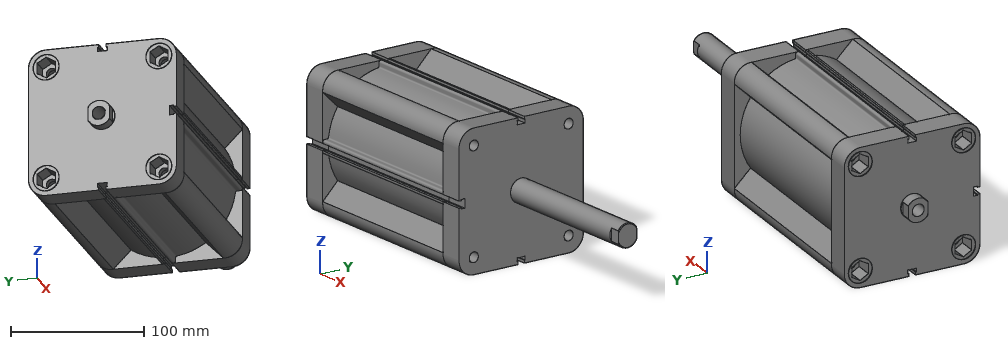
import cadquery as cq
import math

TOTAL_LENGTH = 337.0
REAR_STICKOUT = 9.5
CAP_LENGTH = 20.2
BARREL_LENGTH = 152.3
SIDE = 116.0
CORNER_RADIUS = 13.8
HALF_SIDE = SIDE / 2
BOLT_OFFSET = HALF_SIDE - CORNER_RADIUS

REAR_CAP_X = REAR_STICKOUT
BARREL_X = REAR_CAP_X + CAP_LENGTH
FRONT_CAP_X = BARREL_X + BARREL_LENGTH

ROD_DIAMETER = 20.0
FLAT_WIDTH = 17.0
REAR_FLAT_LENGTH = 8.5
FRONT_FLAT_LENGTH = 9.0
ROD_CHAMFER = 0.7
ROD_HOLE_DIAMETER = 10.0
ROD_HOLE_DEPTH = 20.2
DRILL_TIP_ANGLE = 118.0

BOLT_HOLE_DIAMETER = 8.5
HEX_ACROSS_FLATS = 14.0
HEX_ACROSS_CORNERS = HEX_ACROSS_FLATS / math.cos(math.radians(30))
HEX_TURN = 90
HEX_DEPTH = 15.0
SPOTFACE_DIAMETER = 20.2
SPOTFACE_DEPTH = 0.7

SLOT_OPENING = 5.7
SLOT_INNER_WIDTH = 7.5
SLOT_LIP = 2.5
SLOT_DEPTH = 5.5
SLOT_TURNS = (90, 0, 180)

TUBE_RADIUS = 53.0
WEB_WIDTH = 21.0
WEB_TURNS = (45, 135)
RAIL_WIDTH = 11.0
RAIL_EDGE_FILLET = 1.7
RAIL_ROOT_FILLET = 1.5


def bar(x_start, length, width, height, y=0.0, z=0.0):
    """Box along X, centred on (y, z)."""
    box = cq.Workplane("XY").box(length, width, height, centered=(False, True, True))
    return box.translate((x_start, y, z))


def cylinder(x_start, length, radius, y=0.0, z=0.0):
    """Cylinder along X, centred on (y, z)."""
    return cq.Workplane("YZ", origin=(x_start, y, z)).circle(radius).extrude(length)


def bolt_positions():
    """(y, z) of the four bolt axes."""
    offsets = (-BOLT_OFFSET, BOLT_OFFSET)
    return [(y, z) for y in offsets for z in offsets]


def turned(body, angle, y=0.0, z=0.0):
    """Body turned about the line along X through (y, z)."""
    return body.rotate((0, y, z), (1, y, z), angle)


def cut_slots(body, x_start, length):
    """T-slot along each slotted side."""
    opening = bar(x_start, length, SLOT_OPENING, SLOT_DEPTH, z=HALF_SIDE - SLOT_DEPTH / 2)
    inner_height = SLOT_DEPTH - SLOT_LIP
    inner_z = HALF_SIDE - SLOT_DEPTH + inner_height / 2
    inner = bar(x_start, length, SLOT_INNER_WIDTH, inner_height, z=inner_z)
    slot = opening.union(inner)
    for angle in SLOT_TURNS:
        body = body.cut(turned(slot, angle))
    return body


def cut_through_holes(body, x_start, length):
    """Rod bore and the four bolt holes."""
    body = body.cut(cylinder(x_start, length, ROD_DIAMETER / 2))
    for y, z in bolt_positions():
        body = body.cut(cylinder(x_start, length, BOLT_HOLE_DIAMETER / 2, y, z))
    return body


def make_cap(x_start):
    cap = bar(x_start, CAP_LENGTH, SIDE, SIDE).edges("|X").fillet(CORNER_RADIUS)
    cap = cut_slots(cap, x_start, CAP_LENGTH)
    return cut_through_holes(cap, x_start, CAP_LENGTH)


def make_rear_cap():
    cap = make_cap(REAR_CAP_X)
    for y, z in bolt_positions():
        hexagon = cq.Workplane("YZ", origin=(REAR_CAP_X, y, z)).polygon(6, HEX_ACROSS_CORNERS)
        pocket = turned(hexagon.extrude(HEX_DEPTH), HEX_TURN, y, z)
        cap = cap.cut(pocket)
        cap = cap.cut(cylinder(REAR_CAP_X, SPOTFACE_DEPTH, SPOTFACE_DIAMETER / 2, y, z))
    return cap


def make_web():
    """Web through the axis along Y, ending in a corner post arc on each side."""
    half_width = WEB_WIDTH / 2
    post_centre = math.hypot(BOLT_OFFSET, BOLT_OFFSET)
    arc_start = post_centre + math.sqrt(CORNER_RADIUS**2 - half_width**2)
    arc_middle = post_centre + CORNER_RADIUS
    outline = (
        cq.Workplane("YZ", origin=(BARREL_X, 0, 0))
        .moveTo(-arc_start, -half_width)
        .lineTo(arc_start, -half_width)
        .threePointArc((arc_middle, 0), (arc_start, half_width))
        .lineTo(-arc_start, half_width)
        .threePointArc((-arc_middle, 0), (-arc_start, -half_width))
        .close()
    )
    return outline.extrude(BARREL_LENGTH)


def add_rail(barrel):
    """Rail along the +Z side, rounded at its outer edges and blended into the tube."""
    rail = bar(BARREL_X, BARREL_LENGTH, RAIL_WIDTH, HALF_SIDE, z=HALF_SIDE / 2)
    rail = rail.edges("|X and >Z").fillet(RAIL_EDGE_FILLET)
    root_z = math.sqrt(TUBE_RADIUS**2 - (RAIL_WIDTH / 2) ** 2)
    root_edges = cq.selectors.BoxSelector(
        (BARREL_X, -RAIL_WIDTH, root_z - RAIL_ROOT_FILLET / 2),
        (FRONT_CAP_X, RAIL_WIDTH, root_z + RAIL_ROOT_FILLET / 2),
    )
    return barrel.union(rail).edges("|X").edges(root_edges).fillet(RAIL_ROOT_FILLET)


def make_barrel():
    barrel = cylinder(BARREL_X, BARREL_LENGTH, TUBE_RADIUS)
    for angle in SLOT_TURNS:
        barrel = turned(add_rail(turned(barrel, -angle)), angle)
    web = make_web()
    for angle in WEB_TURNS:
        barrel = barrel.union(turned(web, angle))
    barrel = cut_slots(barrel, BARREL_X, BARREL_LENGTH)
    return cut_through_holes(barrel, BARREL_X, BARREL_LENGTH)


def cut_flats(rod, x_start, length):
    """Pair of wrench flats on the -Y and +Y sides of the rod."""
    thickness = (ROD_DIAMETER - FLAT_WIDTH) / 2
    for side in (-1, 1):
        y = side * (FLAT_WIDTH + thickness) / 2
        rod = rod.cut(bar(x_start, length, thickness, ROD_DIAMETER, y=y))
    return rod


def drill_rear_hole(rod):
    """Blind hole with a conical bottom in the rear end of the rod."""
    radius = ROD_HOLE_DIAMETER / 2
    tip = radius / math.tan(math.radians(DRILL_TIP_ANGLE / 2))
    profile = [(0, 0), (ROD_HOLE_DEPTH + tip, 0), (ROD_HOLE_DEPTH, radius), (0, radius)]
    hole = cq.Workplane("XY").polyline(profile).close().revolve(360, (0, 0, 0), (1, 0, 0))
    return rod.cut(hole)


def make_rod():
    rod = cylinder(0, TOTAL_LENGTH, ROD_DIAMETER / 2).faces(">X").chamfer(ROD_CHAMFER)
    rod = cut_flats(rod, 0, REAR_FLAT_LENGTH)
    rod = cut_flats(rod, TOTAL_LENGTH - FRONT_FLAT_LENGTH, FRONT_FLAT_LENGTH)
    return drill_rear_hole(rod)


rear_cap = make_rear_cap()
barrel = make_barrel()
front_cap = make_cap(FRONT_CAP_X)
rod = make_rod()
result = cq.Compound.makeCompound([rear_cap.val(), barrel.val(), front_cap.val(), rod.val()])